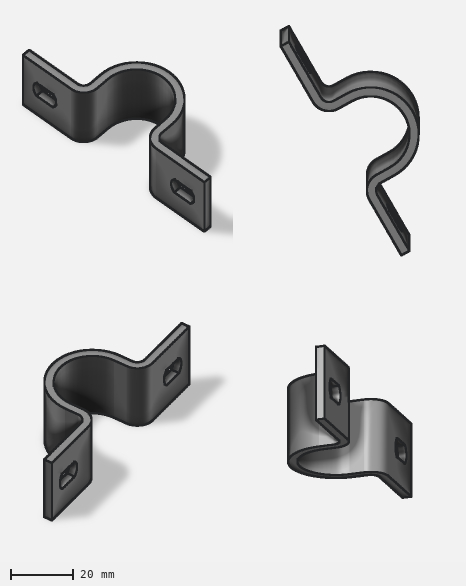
import cadquery as cq

length = 79.0
depth = 26.5
width = 25.0

thickness = 3.0
saddle_outer_radius = 15.5
saddle_inner_radius = saddle_outer_radius - thickness
bend_inner_radius = 3.0
bend_outer_radius = bend_inner_radius + thickness

slot_length = 9.95
slot_height = 6.5
slot_flat_length = 7.1
slot_spacing = 60.0

half_length = length / 2
saddle_center_y = depth - saddle_outer_radius
bend_center_x = saddle_inner_radius + bend_outer_radius


def make_strip():
    """Bent strap: two flat feet joined by a U-shaped saddle."""
    center_line_radius = (saddle_outer_radius + saddle_inner_radius) / 2
    bend_radius = (bend_outer_radius + bend_inner_radius) / 2
    path = (
        cq.Workplane("XY")
        .moveTo(-half_length, thickness / 2)
        .lineTo(-bend_center_x, thickness / 2)
        .radiusArc((-center_line_radius, bend_outer_radius), -bend_radius)
        .lineTo(-center_line_radius, saddle_center_y)
        .threePointArc(
            (0, saddle_center_y + center_line_radius),
            (center_line_radius, saddle_center_y),
        )
        .lineTo(center_line_radius, bend_outer_radius)
        .radiusArc((bend_center_x, thickness / 2), -bend_radius)
        .lineTo(half_length, thickness / 2)
    )
    section = cq.Workplane("YZ", origin=(-half_length, thickness / 2, width / 2)).rect(thickness, width)
    return section.sweep(path.translate((0, 0, width / 2)))


def make_slot_cutter(center_x):
    """Slot through one foot, centred across the strap width."""
    half_flat = slot_flat_length / 2
    half_slot = slot_length / 2
    half_height = slot_height / 2
    return (
        cq.Workplane("XZ", origin=(center_x, 0, width / 2))
        .moveTo(-half_flat, -half_height)
        .lineTo(half_flat, -half_height)
        .threePointArc((half_slot, 0), (half_flat, half_height))
        .lineTo(-half_flat, half_height)
        .threePointArc((-half_slot, 0), (-half_flat, -half_height))
        .close()
        .extrude(-thickness)
    )


result = make_strip()
for side in (-1, 1):
    result = result.cut(make_slot_cutter(side * slot_spacing / 2))